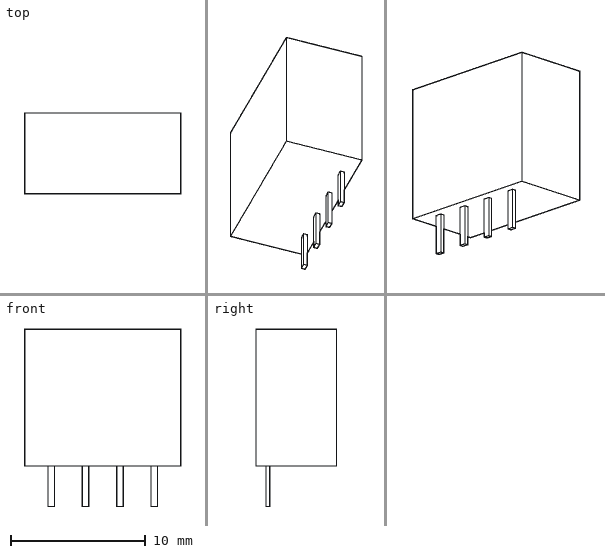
import cadquery as cq

case_length = 11.6
case_width = 6.0
total_height = 13.16
pin_drop = 3.0
case_height = total_height - pin_drop

pin_count = 4
pin_pitch = 2.54
pin_width = 0.5
pin_thickness = 0.3
pin_row_setback = 0.9


def make_case():
    """Plain rectangular case, resting on the plane Z = 0."""
    return cq.Workplane("XY").box(case_length, case_width, case_height, centered=(True, True, False))


def make_pin(x):
    """Flat pin hanging from the underside of the case."""
    pin_y = pin_row_setback - case_width / 2
    return (
        cq.Workplane("XY")
        .center(x, pin_y)
        .rect(pin_width, pin_thickness)
        .extrude(-pin_drop)
    )


case = make_case()
pins = []
for index in range(pin_count):
    pin_x = (index - (pin_count - 1) / 2) * pin_pitch
    pins.append(make_pin(pin_x).val())

result = cq.Compound.makeCompound([case.val(), *pins])